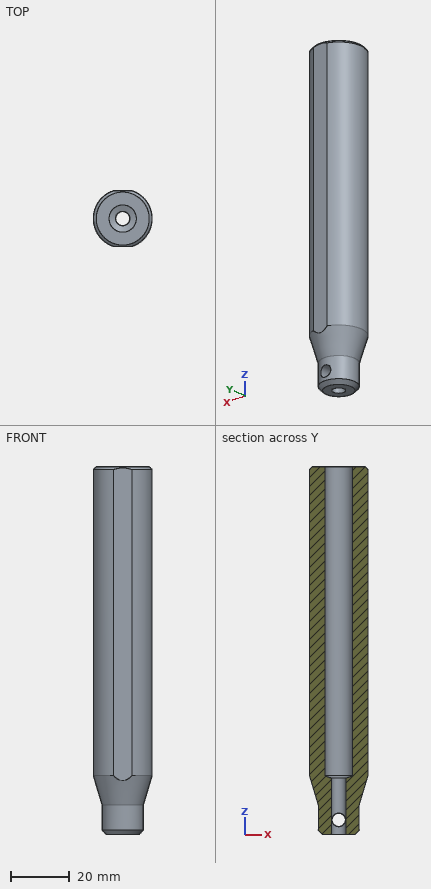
import cadquery as cq
import math

length = 125.0
grip_radius = 10.0
stem_radius = 7.0
stem_top = 10.0
taper_top = 20.0
top_chamfer = 1.0
stem_chamfer = 1.5
width_across_flats = 19.0

bore_radius = 4.6
bore_bottom = taper_top
drill_point_angle = 140.0
passage_radius = 2.4
side_hole_radius = 2.2
side_hole_height = 5.0


def turned_blank():
    """Grip, taper and stem, as one solid of revolution."""
    return (
        cq.Workplane("XZ")
        .lineTo(stem_radius - stem_chamfer, 0)
        .lineTo(stem_radius, stem_chamfer)
        .lineTo(stem_radius, stem_top)
        .lineTo(grip_radius, taper_top)
        .lineTo(grip_radius, length - top_chamfer)
        .lineTo(grip_radius - top_chamfer, length)
        .lineTo(0, length)
        .close()
        .revolve(360, (0, 0, 0), (0, 1, 0))
    )


def flats_envelope():
    """Slab whose two long sides form the flats at -Y and +Y."""
    return cq.Workplane("XY").box(
        2 * grip_radius, width_across_flats, length, centered=(True, True, False)
    )


def stepped_bore():
    """Wide bore from the top, a conical drill point and a narrow passage through the nose."""
    slope = math.tan(math.radians(drill_point_angle / 2))
    cone_bottom = bore_bottom - (bore_radius - passage_radius) / slope
    return (
        cq.Workplane("XZ")
        .lineTo(passage_radius, 0)
        .lineTo(passage_radius, cone_bottom)
        .lineTo(bore_radius, bore_bottom)
        .lineTo(bore_radius, length)
        .lineTo(0, length)
        .close()
        .revolve(360, (0, 0, 0), (0, 1, 0))
    )


def side_hole():
    """Radial hole from the +Y side of the stem into the passage."""
    return cq.Workplane(
        cq.Plane(origin=(0, 0, side_hole_height), xDir=(1, 0, 0), normal=(0, 1, 0))
    ).circle(side_hole_radius).extrude(grip_radius)


handle = turned_blank().intersect(flats_envelope()).cut(stepped_bore()).cut(side_hole())

result = cq.Compound.makeCompound([handle.solids().val()])